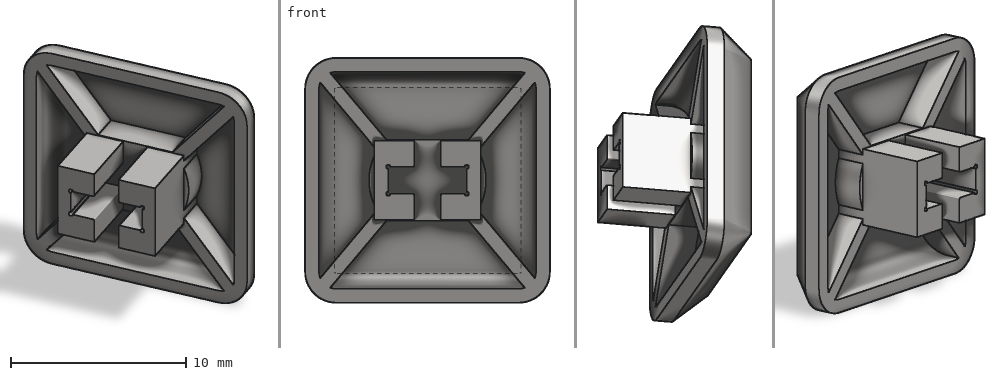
import cadquery as cq
import math

CAP_SIDE = 14.0
TOTAL_HEIGHT = 7.0
CAP_CORNER_RADIUS = 1.79
SKIRT_HEIGHT = 1.01
CAP_HEIGHT = 3.0
SLOPE_INSET = 1.68

WALL = 0.8
POCKET_DEPTH = 1.79
POCKET_SIDE = CAP_SIDE - 2 * WALL
POCKET_RADIUS = CAP_CORNER_RADIUS - WALL
FILLET_MARGIN = 0.007
FLOOR_FILLET = POCKET_RADIUS - FILLET_MARGIN
OVERLAP = 0.14

STEM_LENGTH = TOTAL_HEIGHT - CAP_HEIGHT
STEM_WIDTH = 6.09
STEM_DEPTH = 4.51
SLOT_WIDTH = 1.53
SLOT_SPAN = 4.48
SOCKET_EDGE_RADIUS = 0.1
RELIEF_RADIUS = 0.119

BOSS_RADIUS = 3.35
BOSS_DEPTH = 4.6
BOSS_HEIGHT = POCKET_DEPTH + OVERLAP

RIB_WIDTH = 0.8
RIB_ANGLE = 50.0
RIB_AXIS_OFFSET = 0.92


def section(y):
    """XZ sketch plane at height y, extruding toward +Y, with local axes X and -Z."""
    return cq.Workplane(cq.Plane(origin=(0, y, 0), xDir=(1, 0, 0), normal=(0, 1, 0)))


def rounded_block(side, radius, height):
    return section(0).rect(side, side).extrude(height).edges("|Y").fillet(radius)


def make_cap_body():
    cap = rounded_block(CAP_SIDE, CAP_CORNER_RADIUS, CAP_HEIGHT)
    return cap.faces(">Y").chamfer(CAP_HEIGHT - SKIRT_HEIGHT, SLOPE_INSET)


def make_pocket():
    pocket = rounded_block(POCKET_SIDE, POCKET_RADIUS, POCKET_DEPTH)
    return pocket.faces(">Y").edges().fillet(FLOOR_FILLET)


def make_boss():
    cylinder = section(0).circle(BOSS_RADIUS).extrude(BOSS_HEIGHT)
    flats = section(0).rect(2 * BOSS_RADIUS, BOSS_DEPTH).extrude(BOSS_HEIGHT)
    return cylinder.intersect(flats)


def make_ribs():
    """Four mirrored ribs, trimmed to stay inside the cap."""
    angle = math.radians(RIB_ANGLE)
    length = CAP_SIDE / 2 / math.sin(angle)
    ribs = cq.Workplane()
    for x_sign in (-1, 1):
        for z_sign in (-1, 1):
            middle_x = x_sign * (RIB_AXIS_OFFSET + length / 2 * math.cos(angle))
            middle_z = z_sign * length / 2 * math.sin(angle)
            rib = section(0).rect(length, RIB_WIDTH).extrude(BOSS_HEIGHT)
            rib = rib.rotate((0, 0, 0), (0, 1, 0), -x_sign * z_sign * RIB_ANGLE)
            ribs = ribs.add(rib.translate((middle_x, 0, middle_z)))
    return ribs.combine().intersect(make_cap_body())


def make_socket():
    """Cross with one arm open at both ends, and relieved corners on the closed arm."""
    closed_arm = section(-STEM_LENGTH).rect(SLOT_SPAN, SLOT_WIDTH).extrude(STEM_LENGTH)
    open_arm = section(-STEM_LENGTH).rect(SLOT_WIDTH, 2 * STEM_DEPTH).extrude(STEM_LENGTH)
    reliefs = (
        section(-STEM_LENGTH)
        .rect(SLOT_SPAN, SLOT_WIDTH, forConstruction=True)
        .vertices()
        .circle(RELIEF_RADIUS)
        .extrude(STEM_LENGTH)
    )
    reach = SLOT_WIDTH / 2 + SOCKET_EDGE_RADIUS
    inner_edges = cq.selectors.BoxSelector(
        (-reach, -STEM_LENGTH, -reach), (reach, 0, reach)
    )
    cross = closed_arm.union(open_arm).edges("|Y").edges(inner_edges).fillet(SOCKET_EDGE_RADIUS)
    return cross.union(reliefs)


def make_stem():
    block = section(-STEM_LENGTH).rect(STEM_WIDTH, STEM_DEPTH).extrude(STEM_LENGTH + BOSS_HEIGHT)
    return block.cut(make_socket())


shell = make_cap_body().cut(make_pocket())
result = shell.union(make_boss()).union(make_ribs()).union(make_stem())